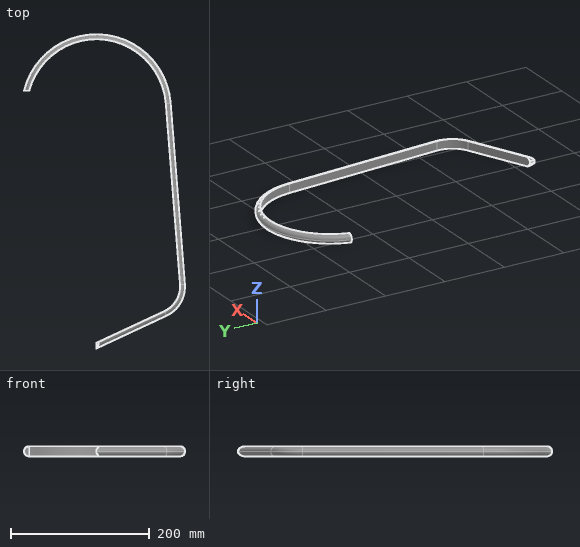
import cadquery as cq
import math

bar_width = 15.0
bar_radius = bar_width / 2

hook_radius = 100.0
hook_tip_y = 26.0
shank_lean = 4.5
shank_length = 261.7
bend_radius = 39.0
arm_slope = 25.0
arm_tip_x = 0.0

bevel_height = 5.5
bevel_depth = 3.5

start_angle = 170.0
arm_overrun = 13.5
cut_size = 136.0


def polar(radius, angle, center=(0, 0)):
    """Point at a radius and angle in degrees around a centre."""
    turn = math.radians(angle)
    return (center[0] + radius * math.cos(turn), center[1] + radius * math.sin(turn))


hook_start = polar(hook_radius, start_angle)
hook_middle = polar(hook_radius, (start_angle + shank_lean) / 2)
shank_top = polar(hook_radius, shank_lean)
shank_bottom = polar(shank_length, shank_lean - 90, shank_top)
bend_center = polar(bend_radius, shank_lean + 180, shank_bottom)
bend_end_angle = arm_slope - 90
bend_middle = polar(bend_radius, (shank_lean + bend_end_angle) / 2, bend_center)
arm_start = polar(bend_radius, bend_end_angle, bend_center)
arm_length = (arm_start[0] - arm_tip_x) / math.cos(math.radians(arm_slope)) + arm_overrun
arm_end = polar(arm_length, arm_slope + 180, arm_start)

path = (
    cq.Workplane("XY")
    .moveTo(*hook_start)
    .threePointArc(hook_middle, shank_top)
    .lineTo(*shank_bottom)
    .threePointArc(bend_middle, arm_start)
    .lineTo(*arm_end)
)

diagonal = bar_radius / math.sqrt(2)
outward = polar(1, start_angle)
along = polar(1, start_angle - 90)
section_plane = cq.Plane(
    origin=(*hook_start, 0),
    xDir=(*outward, 0),
    normal=(*along, 0),
)
bar = (
    cq.Workplane(section_plane)
    .moveTo(0, -bar_radius)
    .threePointArc((diagonal, -diagonal), (bar_radius, 0))
    .threePointArc((diagonal, diagonal), (0, bar_radius))
    .close()
    .sweep(path, clean=False)
)

hook_tip_cut = cq.Workplane("XY").box(cut_size, cut_size, cut_size).translate(
    (-hook_radius, hook_tip_y - cut_size / 2, 0)
)
flat_half = bar_radius - bevel_height
arm_tip_cut = (
    cq.Workplane("XZ", origin=(arm_tip_x, arm_end[1] + cut_size / 2, 0))
    .polyline(
        [
            (-cut_size, -bar_radius),
            (bevel_depth, -bar_radius),
            (0, -flat_half),
            (0, flat_half),
            (bevel_depth, bar_radius),
            (-cut_size, bar_radius),
        ]
    )
    .close()
    .extrude(cut_size)
)
result = bar.cut(hook_tip_cut, clean=False).cut(arm_tip_cut, clean=False)